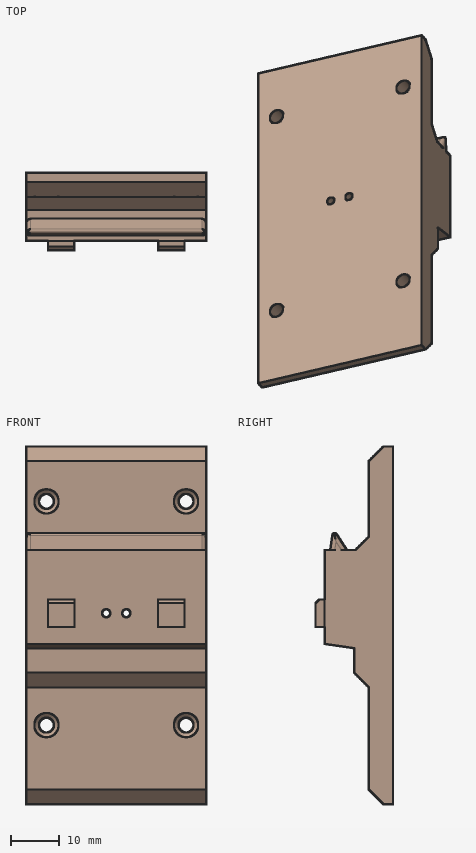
import cadquery as cq
import math

width = 37.0
height = 73.4
plate_depth = 5.0
plate_chamfer = 3.0

upper_step_depth = 7.7
lower_step_depth = 8.0
block_depth = 14.0
block_top = 52.2
block_front_bottom = 32.9
block_root_bottom = 32.0
lower_step_bottom = 27.0

ridge_back = 9.5
ridge_front = 12.9
ridge_back_angle = 33.0
ridge_front_angle = 8.3
ridge_tip_radius = 0.5
ridge_end_radius = 0.95

pad_width = 5.4
pad_offset = 11.3
pad_bottom = 36.35
pad_top = 42.1
pad_front = 15.9
pad_chamfer = 0.8

hole_level = 39.2
screw_diameter = 3.0
screw_head_diameter = 5.0
screw_head_angle = 90.0
screw_spacing_x = 28.6
screw_spacing_z = 45.9
pin_diameter = 1.6
pin_spacing = 4.1


def extrude_profile(points, length):
    """Extrude a (depth, Z) outline along X, centred on X = 0."""
    outline = [(-depth, z) for depth, z in points]
    return cq.Workplane("YZ").polyline(outline).close().extrude(length / 2, both=True)


def make_body():
    upper_rise = upper_step_depth - plate_depth
    lower_rise = lower_step_depth - plate_depth
    return extrude_profile([
        (0, 0),
        (plate_depth - plate_chamfer, 0),
        (plate_depth, plate_chamfer),
        (plate_depth, lower_step_bottom - lower_rise),
        (lower_step_depth, lower_step_bottom),
        (lower_step_depth, block_root_bottom),
        (block_depth, block_front_bottom),
        (block_depth, block_top),
        (upper_step_depth, block_top),
        (plate_depth, block_top + upper_rise),
        (plate_depth, height - plate_chamfer),
        (plate_depth - plate_chamfer, height),
        (0, height),
    ], width)


def make_ridge():
    """Leaning wedge with a rounded tip; each slope rolls into the ends on its own."""
    back_slope = math.tan(math.radians(ridge_back_angle))
    front_slope = math.tan(math.radians(ridge_front_angle))
    tip_rise = (ridge_front - ridge_back) / (back_slope + front_slope)
    tip = (ridge_back + back_slope * tip_rise, block_top + tip_rise)
    wedge = extrude_profile([(ridge_back, block_top), (ridge_front, block_top), tip], width)
    wedge = wedge.edges("|X and >Z").fillet(ridge_tip_radius)

    reach = 2 * (ridge_front - ridge_back)
    bottom = block_top - reach
    top = tip[1] + reach
    for foot, slope, inward in ((ridge_back, back_slope, 1), (ridge_front, -front_slope, -1)):
        low = foot + slope * (bottom - block_top)
        high = foot + slope * (top - block_top)
        far = foot + inward * 2 * reach
        slab = extrude_profile([(low, bottom), (high, top), (far, top), (far, bottom)], width)
        slope_face = slab.faces(cq.selectors.NearestToPointSelector(
            (0, -(low + high) / 2, (bottom + top) / 2)))
        slab = slope_face.edges("not |X").fillet(ridge_end_radius)
        wedge = wedge.intersect(slab)
    return wedge


def make_pad(x):
    pad = extrude_profile([
        (block_depth, pad_bottom),
        (pad_front, pad_bottom),
        (pad_front, pad_top - pad_chamfer),
        (pad_front - pad_chamfer, pad_top),
        (block_depth, pad_top),
    ], pad_width)
    return pad.translate((x, 0, 0))


def front_drill(diameter, depth, spacing_x, spacing_z, count_x, count_z):
    """Grid of cylinders from the given depth through to the back face."""
    plane = cq.Workplane("XZ", origin=(0, -depth, hole_level))
    grid = plane.rarray(spacing_x, spacing_z, count_x, count_z)
    return grid.circle(diameter / 2).extrude(-depth)


def make_screw_head(x, z):
    """Countersink cone opening on the front of the plate."""
    half_angle = math.radians(screw_head_angle / 2)
    depth = (screw_head_diameter - screw_diameter) / 2 / math.tan(half_angle)
    return cq.Solid.makeCone(
        screw_head_diameter / 2, screw_diameter / 2, depth,
        pnt=cq.Vector(x, -plate_depth, z), dir=cq.Vector(0, 1, 0))


result = make_body().union(make_ridge())
for side in (-1, 1):
    result = result.union(make_pad(side * pad_offset))

result = result.cut(front_drill(screw_diameter, plate_depth, screw_spacing_x, screw_spacing_z, 2, 2))
for x in (-screw_spacing_x / 2, screw_spacing_x / 2):
    for z in (hole_level - screw_spacing_z / 2, hole_level + screw_spacing_z / 2):
        result = result.cut(make_screw_head(x, z))

result = result.cut(front_drill(pin_diameter, block_depth, pin_spacing, pin_spacing, 2, 1))